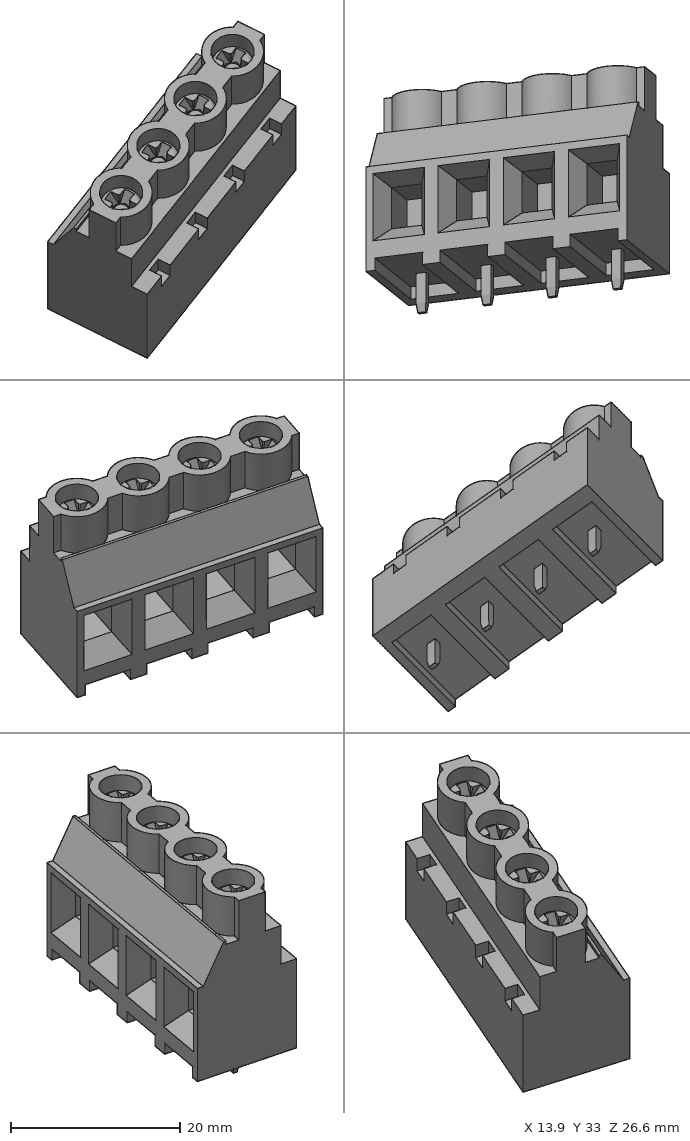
import cadquery as cq

pole_count = 4
pitch = 8.25
length = 33.05
pole_positions = [(i - (pole_count - 1) / 2) * pitch for i in range(pole_count)]

depth = 13.88
front_x = -7.65
back_x = front_x + depth
total_height = 26.57
pin_length = 3.3
top_z = total_height - pin_length
ledge_z = 17.8
lip_z = 18.25
shoulder_z = 13.0
back_step_z = 12.45
back_step_x = 4.05
shoulder_depth = 0.8
slope_depth = 2.85

collar_radius = 3.65
web_width = 3.72
collar_height = top_z - ledge_z

screw_radius = 2.54
screw_recess = 1.8
screw_flat_radius = 1.68
screw_rounding = screw_radius - screw_flat_radius
screw_height = collar_height - screw_recess
drive_slot_width = 1.33
drive_reach = 1.9
drive_core_top_radius = 1.1
drive_core_bottom_radius = 0.93
drive_tip_reach = 0.77
drive_depth = 1.7
drive_cone_depth = 0.25

entry_width = 6.5
entry_bottom_z = 3.7
entry_top_z = 12.05
funnel_depth = 2.6
chamber_width = 3.84
chamber_bottom_z = 5.82
chamber_top_z = 10.95
chamber_end_x = 0.0

channel_width = 6.05
channel_height = 1.53
channel_end_x = back_step_x
notch_width = 1.9
notch_start_x = 4.57
notch_depth = 2.0

pin_thickness = 0.9
pin_width = 1.25
pin_taper_length = 1.1
pin_tip_thickness = 0.5
pin_tip_width = 0.95


def block(x0, x1, y_center, width, z0, z1):
    """Box between two X values and two Z values, centred on y_center."""
    box = cq.Workplane("XY").box(x1 - x0, width, z1 - z0, centered=(False, True, False))
    return box.translate((x0, y_center, z0))


def upright_cylinder(y, radius):
    """Cylinder on a screw axis, from the ledge up to the collar top."""
    return cq.Workplane("XY", origin=(0, y, ledge_z)).circle(radius).extrude(collar_height)


def make_base():
    """Stepped block with a sloped front and a thin lip in front of the collars."""
    slope_x = front_x + shoulder_depth
    return (
        cq.Workplane("XZ")
        .moveTo(front_x, 0)
        .lineTo(front_x, shoulder_z)
        .lineTo(slope_x, shoulder_z)
        .lineTo(slope_x + slope_depth, lip_z)
        .lineTo(-collar_radius, lip_z)
        .lineTo(-collar_radius, ledge_z)
        .lineTo(back_step_x, ledge_z)
        .lineTo(back_step_x, back_step_z)
        .lineTo(back_x, back_step_z)
        .lineTo(back_x, 0)
        .close()
        .extrude(length / 2, both=True)
    )


def make_collars():
    """Web along the block with a round collar at each pole."""
    collars = block(-web_width / 2, web_width / 2, 0, length, ledge_z, top_z)
    for y in pole_positions:
        collars = collars.union(upright_cylinder(y, collar_radius))
    return collars


def make_wire_entry(y):
    """Funnel that narrows unevenly from the front face into a straight chamber."""
    entry_height = entry_top_z - entry_bottom_z
    chamber_height = chamber_top_z - chamber_bottom_z
    entry_mid_z = (entry_top_z + entry_bottom_z) / 2
    chamber_mid_z = (chamber_top_z + chamber_bottom_z) / 2
    funnel = (
        cq.Workplane("YZ", origin=(front_x, y, entry_mid_z))
        .rect(entry_width, entry_height)
        .workplane(offset=funnel_depth)
        .center(0, chamber_mid_z - entry_mid_z)
        .rect(chamber_width, chamber_height)
        .loft(ruled=True)
    )
    chamber = block(
        front_x + funnel_depth, chamber_end_x, y, chamber_width, chamber_bottom_z, chamber_top_z
    )
    return funnel.union(chamber)


def make_housing():
    """Base and collars with the screw bores, wire entries, channels and notches cut in."""
    housing = make_base().union(make_collars())
    for y in pole_positions:
        bore = upright_cylinder(y, screw_radius)
        channel = block(front_x, channel_end_x, y, channel_width, 0, channel_height)
        notch = block(notch_start_x, back_x, y, notch_width, back_step_z - notch_depth, back_step_z)
        housing = housing.cut(bore).cut(make_wire_entry(y)).cut(channel).cut(notch)
    return housing


def make_drive_slot():
    """One straight slot of the cross drive, with end walls that slope inwards down into the core."""
    return (
        cq.Workplane("XZ")
        .moveTo(-drive_reach, screw_height)
        .lineTo(drive_reach, screw_height)
        .lineTo(drive_tip_reach, screw_height - drive_depth)
        .lineTo(-drive_tip_reach, screw_height - drive_depth)
        .close()
        .extrude(drive_slot_width / 2, both=True)
    )


def make_screw(y):
    """Round screw with a rounded rim, a cross drive, a tapered drive core and a conical bottom."""
    drive_bottom_z = screw_height - drive_depth
    body = cq.Workplane("XY").circle(screw_radius).extrude(screw_height)
    body = body.faces(">Z").edges().fillet(screw_rounding)
    core = (
        cq.Workplane("XZ")
        .moveTo(0, screw_height)
        .lineTo(drive_core_top_radius, screw_height)
        .lineTo(drive_core_bottom_radius, drive_bottom_z)
        .lineTo(0, drive_bottom_z - drive_cone_depth)
        .close()
        .revolve(360, (0, 0, 0), (0, 1, 0))
    )
    slot = make_drive_slot()
    cross_slot = slot.rotate((0, 0, 0), (0, 0, 1), 90)
    return body.cut(slot).cut(cross_slot).cut(core).translate((0, y, ledge_z))


def make_pin(y):
    """Rectangular solder pin with a tapered tip, standing against the channel ceiling."""
    taper_z = pin_taper_length - pin_length
    shank = block(-pin_thickness / 2, pin_thickness / 2, y, pin_width, taper_z, channel_height)
    tip = (
        cq.Workplane("XY", origin=(0, y, -pin_length))
        .rect(pin_tip_thickness, pin_tip_width)
        .workplane(offset=pin_taper_length)
        .rect(pin_thickness, pin_width)
        .loft(ruled=True)
    )
    return shank.union(tip)


housing = make_housing()
screws = [make_screw(y) for y in pole_positions]
pins = [make_pin(y) for y in pole_positions]

result = cq.Compound.makeCompound([housing.val(), *[s.val() for s in screws], *[p.val() for p in pins]])